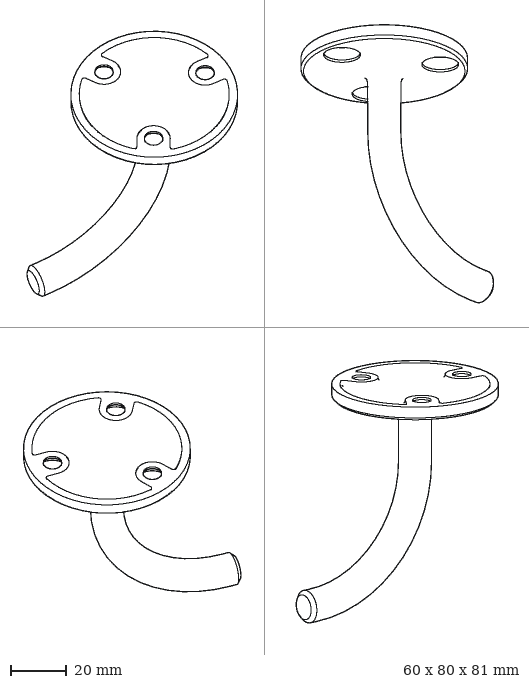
import cadquery as cq
import math

plate_diameter = 60.0
plate_thickness = 5.0
plate_chamfer = 1.0

hole_count = 3
hole_diameter = 6.65
hole_circle_radius = 21.0
hole_throat_length = 0.8
countersink_diameter = 13.2
first_hole_angle = 90

pocket_radius = 27.0
pocket_depth = 2.0
pocket_floor_fillet = 1.95
pocket_corner_radius = 1.0
lobe_radius = 6.0

rod_diameter = 12.0
rod_fillet = 5.0
tip_length = 4.0
tip_chamfer = 1.45
overall_height = 81
bend_start_depth = 29.0
bend_radius = overall_height - bend_start_depth - rod_diameter / 2


def hole_angles():
    return [first_hole_angle + i * 360 / hole_count for i in range(hole_count)]


def make_plate():
    plate = cq.Workplane("XY").circle(plate_diameter / 2).extrude(-plate_thickness)
    return plate.faces("<Z").edges().chamfer(plate_chamfer)


def make_rod():
    """Straight shank, quarter bend toward -Y and a short chamfered tip."""
    bend_end_y = -bend_radius
    bend_end_z = -bend_start_depth - bend_radius
    mid_offset = bend_radius * math.sqrt(0.5)
    path = (
        cq.Workplane("YZ")
        .moveTo(0, -plate_thickness)
        .lineTo(0, -bend_start_depth)
        .threePointArc(
            (-bend_radius + mid_offset, -bend_start_depth - mid_offset),
            (bend_end_y, bend_end_z),
        )
        .lineTo(bend_end_y - tip_length, bend_end_z)
    )
    rod = cq.Workplane("XY", origin=(0, 0, -plate_thickness)).circle(rod_diameter / 2).sweep(path)
    return rod.faces("<Y").edges().chamfer(tip_chamfer)


def make_root_fillet():
    """Concave ring that blends the shank into the underside of the plate."""
    rod_radius = rod_diameter / 2
    outer_radius = rod_radius + rod_fillet
    fillet_bottom = -plate_thickness - rod_fillet
    arc_offset = rod_fillet * math.sqrt(0.5)
    return (
        cq.Workplane("XZ")
        .moveTo(0, -plate_thickness)
        .lineTo(outer_radius, -plate_thickness)
        .threePointArc(
            (outer_radius - arc_offset, fillet_bottom + arc_offset),
            (rod_radius, fillet_bottom),
        )
        .lineTo(0, fillet_bottom)
        .close()
        .revolve(360, (0, 0, 0), (0, 1, 0))
    )


def make_pocket():
    """Round pocket volume with a U-shaped lobe cut out of it around each hole."""
    pocket = cq.Workplane("XY").circle(pocket_radius).extrude(-pocket_depth)
    lobe_reach = plate_diameter / 2 - hole_circle_radius
    lobe = (
        cq.Workplane("XY")
        .moveTo(hole_circle_radius, 0)
        .circle(lobe_radius)
        .extrude(-pocket_depth)
        .union(
            cq.Workplane("XY")
            .moveTo(hole_circle_radius + lobe_reach / 2, 0)
            .rect(lobe_reach, 2 * lobe_radius)
            .extrude(-pocket_depth)
        )
    )
    for angle in hole_angles():
        pocket = pocket.cut(lobe.rotate((0, 0, 0), (0, 0, 1), angle))
    rim_corners = [
        edge
        for edge in pocket.edges("|Z").vals()
        if math.hypot(edge.Center().x, edge.Center().y) > pocket_radius - pocket_corner_radius
    ]
    pocket = pocket.newObject(rim_corners).fillet(pocket_corner_radius)
    return pocket.faces("<Z").edges().fillet(pocket_floor_fillet)


def make_holes():
    """Screw holes with a 90 degree countersink that opens on the underside."""
    hole_radius = hole_diameter / 2
    sink_radius = countersink_diameter / 2
    sink_bottom = -hole_throat_length - (sink_radius - hole_radius)
    hole = (
        cq.Workplane("XZ")
        .polyline(
            [
                (0, 0),
                (hole_radius, 0),
                (hole_radius, -hole_throat_length),
                (sink_radius, sink_bottom),
                (sink_radius, -plate_thickness),
                (0, -plate_thickness),
            ]
        )
        .close()
        .revolve(360, (0, 0, 0), (0, 1, 0))
        .translate((hole_circle_radius, 0, 0))
    )
    holes = cq.Workplane("XY")
    for angle in hole_angles():
        holes = holes.add(hole.rotate((0, 0, 0), (0, 0, 1), angle))
    return holes.combine()


result = make_plate().union(make_root_fillet()).union(make_rod()).cut(make_pocket()).cut(make_holes())